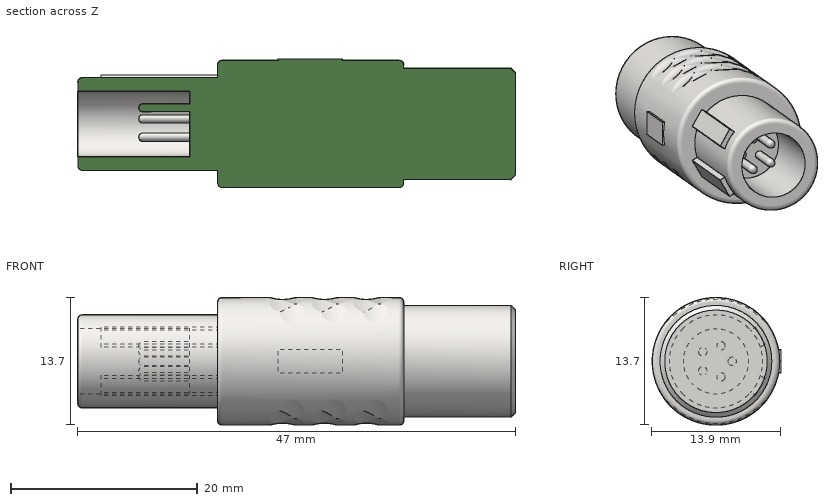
import cadquery as cq

PLUG_RADIUS = 5.0
PLUG_LENGTH = 15.0
GRIP_RADIUS = 6.85
GRIP_LENGTH = 20.0
TAIL_RADIUS = 6.0
TAIL_LENGTH = 12.0
EDGE_RADIUS = 0.5
TAIL_CHAMFER = 0.5
GRIP_START = PLUG_LENGTH
GRIP_END = GRIP_START + GRIP_LENGTH

SOCKET_RADIUS = 3.5
SOCKET_DEPTH = 12.0
PIN_COUNT = 5
PIN_RADIUS = 0.45
PIN_CIRCLE_RADIUS = 1.75
PIN_LENGTH = 5.0
PIN_ROOT = 0.5

KEY_ANGLES = (-30, 30)
KEY_WIDTH = 2.1
KEY_FACE_DISTANCE = 5.5
KEY_START = 2.5
KEY_ROOT = 4.0

DIMPLE_DEPTH = 0.2
DIMPLE_CUTTER_RADIUS = 4.5
DIMPLE_CUTTER_LENGTH = 4.0
DIMPLE_STEP_ANGLE = 13
BAND_COUNT = 3
BAND_PITCH = 4.5
FIRST_BAND_X = 22.0
ROW_OFFSET = 1.0
FRONT_ROW_STEPS = (-2, 0, 2)
REAR_ROW_STEPS = (-3, -1, 1, 3)
GRIP_SIDES = (0, 180)

PAD_START = 21.5
PAD_LENGTH = 6.9
PAD_WIDTH = 2.5
PAD_FACE_Y = 7.0
PAD_ROOT_Y = 6.0

AXIS_START = (0, 0, 0)
AXIS_END = (1, 0, 0)


def barrel(start, length, radius):
    """Round bar on the X axis."""
    return cq.Workplane("YZ", origin=(start, 0, 0)).circle(radius).extrude(length)


def block(start_x, length, root_y, face_y, width):
    """Box reaching outward along +Y, centred on Z."""
    bar = cq.Workplane("XY").box(length, face_y - root_y, width, centered=(False, False, True))
    return bar.translate((start_x, root_y, 0))


def make_body():
    plug = barrel(0, PLUG_LENGTH, PLUG_RADIUS).faces("<X").edges().fillet(EDGE_RADIUS)
    grip = barrel(GRIP_START, GRIP_LENGTH, GRIP_RADIUS).edges("%CIRCLE").fillet(EDGE_RADIUS)
    tail = barrel(GRIP_END, TAIL_LENGTH, TAIL_RADIUS).faces(">X").edges().chamfer(TAIL_CHAMFER)
    return plug.union(grip).union(tail)


def add_keys(body):
    for angle in KEY_ANGLES:
        key = block(KEY_START, GRIP_START - KEY_START, KEY_ROOT, KEY_FACE_DISTANCE, KEY_WIDTH)
        body = body.union(key.rotate(AXIS_START, AXIS_END, angle))
    return body


def make_pin():
    """Contact on the X axis with a rounded tip, rooted in the socket floor."""
    tip_base = SOCKET_DEPTH - PIN_LENGTH
    pin = barrel(tip_base, PIN_LENGTH + PIN_ROOT, PIN_RADIUS)
    tip = cq.Workplane("XY").sphere(PIN_RADIUS).translate((tip_base, 0, 0))
    return pin.union(tip)


def add_socket(body):
    body = body.cut(barrel(0, SOCKET_DEPTH, SOCKET_RADIUS))
    pin = make_pin().translate((0, PIN_CIRCLE_RADIUS, 0))
    for index in range(PIN_COUNT):
        body = body.union(pin.rotate(AXIS_START, AXIS_END, index * 360 / PIN_COUNT))
    return body


def cut_dimple(body, x, angle):
    """Shallow oval hollow at a given angle about X, measured from +Z."""
    cutter_height = GRIP_RADIUS - DIMPLE_DEPTH + DIMPLE_CUTTER_RADIUS
    cutter = (
        cq.Workplane("XZ", origin=(x, 0, cutter_height))
        .circle(DIMPLE_CUTTER_RADIUS)
        .extrude(DIMPLE_CUTTER_LENGTH / 2, both=True)
    )
    return body.cut(cutter.rotate(AXIS_START, AXIS_END, angle))


def cut_dimples(body):
    for side in GRIP_SIDES:
        for band in range(BAND_COUNT):
            front_x = FIRST_BAND_X + band * BAND_PITCH
            for x, steps in ((front_x, FRONT_ROW_STEPS), (front_x + ROW_OFFSET, REAR_ROW_STEPS)):
                for step in steps:
                    body = cut_dimple(body, x, side + step * DIMPLE_STEP_ANGLE)
    return body


def add_pad(body):
    return body.union(block(PAD_START, PAD_LENGTH, PAD_ROOT_Y, PAD_FACE_Y, PAD_WIDTH))


body = add_keys(make_body())
body = add_socket(body)
body = cut_dimples(body)
result = add_pad(body)